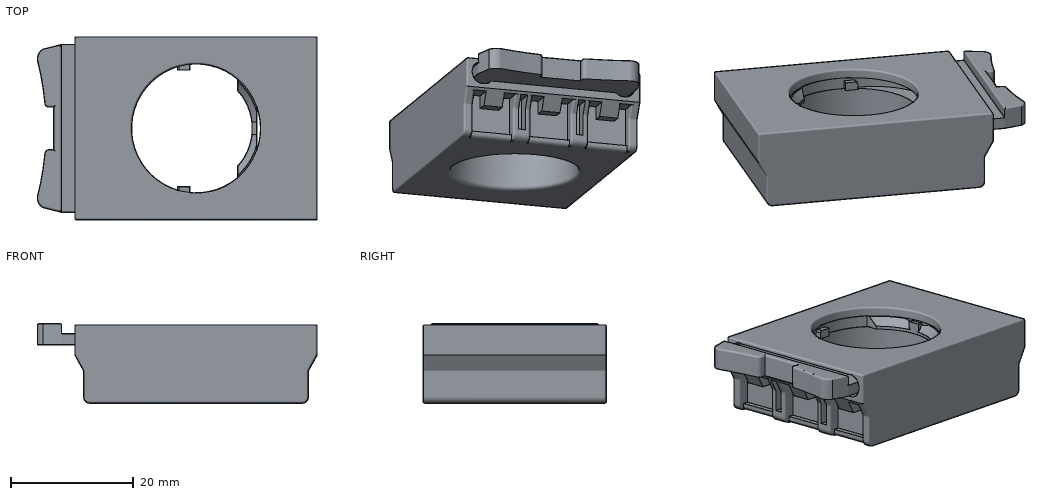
import cadquery as cq
import math


LENGTH = 39.7
WIDTH = 30.0
HEIGHT = 12.85
FOOT_LENGTH = 36.8
FOOT_TOP = 5.3
SLOPE_TOP = 7.9
BOTTOM_RADIUS = 1.0
FOOT_CORNER_RADIUS = 0.5
EDGE_RADIUS = 0.3
BORE_RADIUS = 10.55
BORE_RIM = 0.3
BORE_FOOT_RIM = 0.6

POCKET_PITCH = 10.0
POCKET_COUNT = 3
POCKET_WIDTH = 7.05
POCKET_DEPTH = 1.9
POCKET_FLOOR = 1.05
POCKET_TOP = 7.45
POCKET_EDGE_RADIUS = 0.35
LIP_SETBACK = 0.95
LIP_RADIUS = 0.6
TAB_WIDTH = 3.15
RIB_SLOT_WIDTH = 1.15
RIB_SLOT_BOTTOM = 1.85

CHANNEL_END = 12.5
MOUTH_DEPTH = 3.0
MOUTH_BOTTOM = 9.15
MOUTH_TOP = 12.3
GROOVE_RADIUS = 1.9
GROOVE_Y = 12.2

PLATE_WIDTH = 27.5
PLATE_BOTTOM = 9.55
PLATE_TOP = 11.4
PLATE_END = 9.97
OPENING_RADIUS = 10.55
OPENING_START = -3.5
OPENING_END = 0.25
HANDLE_TOP = 13.05
HANDLE_BACK = -22.03
HANDLE_EDGE_RADIUS = 0.3
HANDLE_TIP = -26.01
CORNER_START_Y = 11.25
CORNER_END_X = -25.05
CORNER_END_Y = 12.98
CORNER_MIDDLE = (-25.65, 12.45)
FRONT_RADIUS = 45.0
NOTCH_HALF_WIDTH = 3.48
NOTCH_BOTTOM = -23.34
NOTCH_CORNER_RADIUS = 0.7

CATCH_START = 6.83
CATCH_RADIUS = 9.2
CATCH_TOP_RADIUS = 10.3
CATCH_LIP_TOP = 10.05
KEY_WIDTH = 2.05
KEY_FACE = 9.16

NIB_START = -3.07
NIB_END = -1.0
NIB_REACH_Y = 9.53
NIB_TOP = 10.9
NIB_ROOT = 1.0
NIB_CHAMFER = 0.3

SELECT_MARGIN = 0.1
END_X = -LENGTH / 2
FOOT_X = -FOOT_LENGTH / 2
LIP_X = FOOT_X + LIP_SETBACK
POCKET_BACK = FOOT_X + POCKET_DEPTH
POCKET_CENTRES = [(i - (POCKET_COUNT - 1) / 2) * POCKET_PITCH for i in range(POCKET_COUNT)]
RIB_CENTRES = [(a + b) / 2 for a, b in zip(POCKET_CENTRES, POCKET_CENTRES[1:])]
GROOVE_Z = (PLATE_BOTTOM + PLATE_TOP) / 2


def block(x_range, y_range, z_range):
    """Box between the given limits."""
    size = [high - low for low, high in (x_range, y_range, z_range)]
    corner = (x_range[0], y_range[0], z_range[0])
    return cq.Workplane("XY").box(*size, centered=False).translate(corner)


def centred_block(x_range, y_centre, width, z_range):
    """Box of the given width about y_centre."""
    return block(x_range, (y_centre - width / 2, y_centre + width / 2), z_range)


def cylinder(radius, bottom, top, x=0.0):
    """Upright cylinder whose axis crosses the X axis at x."""
    return cq.Workplane("XY", origin=(x, 0, bottom)).circle(radius).extrude(top - bottom)


def housing_shell():
    """Side profile extruded over the width, with the outer edges rounded."""
    right_side = [(-FOOT_X, 0), (-FOOT_X, FOOT_TOP), (-END_X, SLOPE_TOP), (-END_X, HEIGHT)]
    left_side = [(-x, z) for x, z in reversed(right_side)]
    shell = cq.Workplane("XZ").polyline(right_side + left_side).close().extrude(WIDTH / 2, both=True)
    shell = shell.edges("|Y and <Z").fillet(BOTTOM_RADIUS)
    foot_corners = cq.selectors.BoxSelector(
        (END_X, -SELECT_MARGIN, FOOT_TOP - SELECT_MARGIN),
        (-END_X, SELECT_MARGIN, FOOT_TOP + SELECT_MARGIN),
    )
    shell = shell.edges("|Y").edges(foot_corners).fillet(FOOT_CORNER_RADIUS)
    return shell.faces(">Y or <Y or >Z").edges().fillet(EDGE_RADIUS)


def pocket_space(y):
    """Pocket open to the -X end, whose floor ends in a set-back lip."""
    pocket = centred_block((END_X, POCKET_BACK), y, POCKET_WIDTH, (POCKET_FLOOR, POCKET_TOP))
    return pocket.union(centred_block((END_X, LIP_X), y, POCKET_WIDTH, (0, POCKET_FLOOR)))


def lip_trim(y):
    """Sliver that rounds the lower edge of a pocket lip."""
    inset = LIP_RADIUS * (1 - math.sqrt(0.5))
    profile = (
        cq.Workplane("XZ", origin=(0, y, 0))
        .moveTo(LIP_X, 0)
        .lineTo(LIP_X + LIP_RADIUS, 0)
        .threePointArc((LIP_X + inset, inset), (LIP_X, LIP_RADIUS))
        .close()
    )
    return profile.extrude(POCKET_WIDTH / 2, both=True)


def pocket_side_edges(body):
    """Upright and sloping side edges of the pocket mouths."""
    reach = WIDTH / 2 - EDGE_RADIUS - SELECT_MARGIN
    mouths = cq.selectors.BoxSelector(
        (END_X, -reach, BOTTOM_RADIUS),
        (FOOT_X + SELECT_MARGIN, reach, POCKET_TOP - SELECT_MARGIN),
    )
    return body.edges("not |Y").edges(mouths)


def label_tabs():
    """Tabs at the top of the pockets whose front continues the sloping end."""
    profile = [
        (POCKET_BACK, FOOT_TOP),
        (FOOT_X, FOOT_TOP),
        (FOOT_X + (END_X - FOOT_X) * (POCKET_TOP - FOOT_TOP) / (SLOPE_TOP - FOOT_TOP), POCKET_TOP),
        (POCKET_BACK, POCKET_TOP),
    ]
    tab = cq.Workplane("XZ").polyline(profile).close().extrude(TAB_WIDTH / 2, both=True)
    return [tab.translate((0, y, 0)) for y in POCKET_CENTRES]


def latch_channel():
    """Close-fitting channel for the latch plate, open to the -X end."""
    return centred_block((END_X, CHANNEL_END), 0, PLATE_WIDTH, (PLATE_BOTTOM, PLATE_TOP))


def channel_mouth():
    """Wider entrance of the channel with a round bulge at each side."""
    mouth = centred_block((END_X, END_X + MOUTH_DEPTH), 0, 2 * GROOVE_Y, (MOUTH_BOTTOM, MOUTH_TOP))
    for side in (-1, 1):
        groove = (
            cq.Workplane("YZ", origin=(END_X, side * GROOVE_Y, GROOVE_Z))
            .circle(GROOVE_RADIUS)
            .extrude(MOUTH_DEPTH)
        )
        mouth = mouth.union(groove)
    return mouth


def make_housing():
    body = housing_shell()
    for y in POCKET_CENTRES:
        body = body.cut(pocket_space(y))
    body = pocket_side_edges(body).fillet(POCKET_EDGE_RADIUS)
    for y in POCKET_CENTRES:
        body = body.cut(lip_trim(y))
    for tab in label_tabs():
        body = body.union(tab)
    for y in RIB_CENTRES:
        rib_slot = centred_block((END_X, POCKET_BACK), y, RIB_SLOT_WIDTH, (RIB_SLOT_BOTTOM, POCKET_TOP))
        body = body.cut(rib_slot)
    body = body.cut(cylinder(BORE_RADIUS, 0, HEIGHT))
    body = body.faces(">Z").edges("%CIRCLE").fillet(BORE_RIM)
    body = body.faces("<Z").edges(cq.selectors.RadiusNthSelector(-1)).fillet(BORE_FOOT_RIM)
    return body.cut(latch_channel()).cut(channel_mouth())


def handle():
    """Thumb grip with a hollow front, a middle notch and slanted sides."""
    def front_x(y):
        centre_x = HANDLE_TIP - math.sqrt(FRONT_RADIUS**2 - CORNER_START_Y**2)
        return centre_x + math.sqrt(FRONT_RADIUS**2 - y**2)

    mid_y = (NOTCH_HALF_WIDTH + CORNER_START_Y) / 2
    half = (
        cq.Workplane("XY", origin=(0, 0, PLATE_BOTTOM))
        .moveTo(HANDLE_BACK, 0)
        .lineTo(NOTCH_BOTTOM, 0)
        .lineTo(NOTCH_BOTTOM, NOTCH_HALF_WIDTH)
        .lineTo(front_x(NOTCH_HALF_WIDTH), NOTCH_HALF_WIDTH)
        .threePointArc((front_x(mid_y), mid_y), (HANDLE_TIP, CORNER_START_Y))
        .threePointArc(CORNER_MIDDLE, (CORNER_END_X, CORNER_END_Y))
        .lineTo(HANDLE_BACK, PLATE_WIDTH / 2)
        .close()
        .extrude(HANDLE_TOP - PLATE_BOTTOM)
    )
    notch_corner = cq.selectors.NearestToPointSelector(
        (front_x(NOTCH_HALF_WIDTH), NOTCH_HALF_WIDTH, (PLATE_BOTTOM + HANDLE_TOP) / 2)
    )
    half = half.edges("|Z").edges(notch_corner).fillet(NOTCH_CORNER_RADIUS)
    grip = half.union(half.mirror("XZ"))
    return grip.faces(">Z").edges().fillet(HANDLE_EDGE_RADIUS)


def plate_opening():
    """Opening of the plate, stretched towards the handle."""
    z_range = (PLATE_BOTTOM, PLATE_TOP)
    opening = centred_block((OPENING_START, OPENING_END), 0, 2 * OPENING_RADIUS, z_range)
    for x in (OPENING_START, OPENING_END):
        opening = opening.union(cylinder(OPENING_RADIUS, *z_range, x))
    return opening


def catch():
    """Far end of the plate: a lip with a conical ramp above it and a key in the middle."""
    z_range = (PLATE_BOTTOM, PLATE_TOP)
    base = centred_block((CATCH_START, PLATE_END), 0, PLATE_WIDTH, z_range)
    ramp_profile = [
        (0, PLATE_BOTTOM),
        (CATCH_RADIUS, PLATE_BOTTOM),
        (CATCH_RADIUS, CATCH_LIP_TOP),
        (CATCH_TOP_RADIUS, PLATE_TOP),
        (0, PLATE_TOP),
    ]
    ramp = cq.Workplane("XZ").polyline(ramp_profile).close().revolve(360, (0, 0, 0), (0, 1, 0))
    key = centred_block((KEY_FACE, PLATE_END), 0, KEY_WIDTH, z_range)
    return base.cut(ramp).union(key)


def nib(side):
    """Small block on the straight inner side of the opening, bevelled towards the handle."""
    y_limits = sorted((side * NIB_REACH_Y, side * (OPENING_RADIUS + NIB_ROOT)))
    body = block((NIB_START, NIB_END), y_limits, (PLATE_BOTTOM, NIB_TOP))
    return body.edges("<X and >Z").chamfer(NIB_CHAMFER)


def make_latch():
    plate = centred_block((HANDLE_BACK, PLATE_END), 0, PLATE_WIDTH, (PLATE_BOTTOM, PLATE_TOP))
    body = plate.cut(plate_opening()).union(catch())
    for side in (-1, 1):
        body = body.union(nib(side))
    return body.union(handle())


housing = make_housing()
latch = make_latch()
result = cq.Compound.makeCompound([housing.val(), latch.val()])